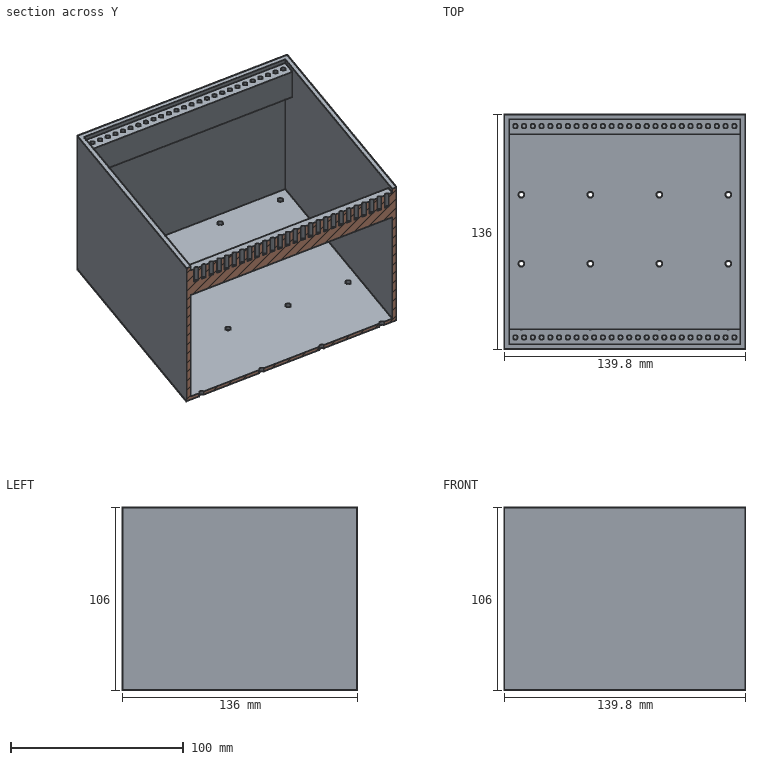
import cadquery as cq

length = 139.8
width = 136.0
height = 106.0
wall = 3.0

rail_depth = 8.5
rail_height = 20.0
rail_recess = 3.0
rail_hole_diameter = 2.7
rail_hole_count = 26
rail_hole_span = 127.0
rail_hole_depth = 10.0
rail_row_spacing = 122.5

floor_hole_diameter = 3.2
floor_hole_pitch = 40.0
floor_hole_count = 4

opening_height = 30.0

inner_length = length - 2 * wall
inner_width = width - 2 * wall
floor_hole_offset = wall / 2
rail_top = height - rail_recess
rail_bottom = rail_top - rail_height
rail_hole_pitch = rail_hole_span / (rail_hole_count - 1)


def make_box(size_x, size_y, size_z, center_y, bottom_z):
    """Block centred on X, at the given Y centre, standing on bottom_z."""
    return (
        cq.Workplane("XY", origin=(0, center_y, bottom_z))
        .box(size_x, size_y, size_z, centered=(True, True, False))
    )


def make_case():
    """Open-topped box with a floor."""
    outer = make_box(length, width, height, 0, 0)
    cavity = make_box(inner_length, inner_width, height - wall, 0, wall)
    return outer.cut(cavity)


def make_rail(side):
    """Drilled rail against the front (side = -1) or rear (side = 1) wall."""
    rail_y = side * (inner_width - rail_depth) / 2
    rail = make_box(inner_length, rail_depth, rail_height, rail_y, rail_bottom)
    holes = (
        cq.Workplane("XY", origin=(0, side * rail_row_spacing / 2, rail_top))
        .rarray(rail_hole_pitch, 1.4, rail_hole_count, 1)
        .circle(rail_hole_diameter / 2)
        .extrude(-rail_hole_depth)
    )
    return rail.cut(holes)


def make_floor_holes():
    """Square grid of screw holes through the floor."""
    return (
        cq.Workplane("XY", origin=(0, floor_hole_offset, 0))
        .rarray(floor_hole_pitch, floor_hole_pitch, floor_hole_count, floor_hole_count)
        .circle(floor_hole_diameter / 2)
        .extrude(wall)
    )


def make_rear_opening():
    """Full-width opening through the rear wall, level with the floor."""
    return make_box(inner_length, wall, opening_height, (width - wall) / 2, wall)


result = make_case()
for side in (-1, 1):
    result = result.union(make_rail(side))
result = result.cut(make_floor_holes()).cut(make_rear_opening())